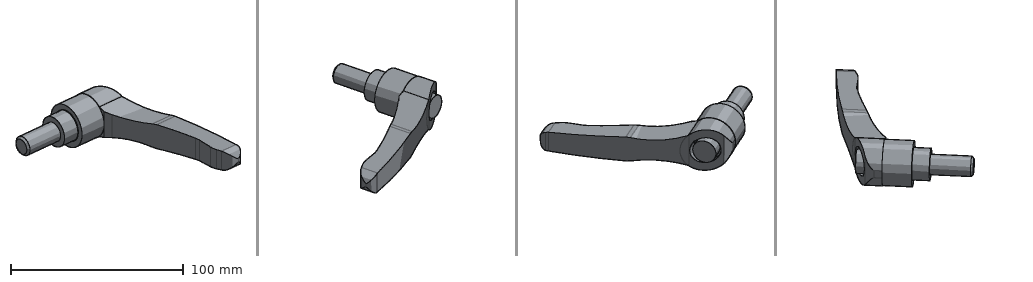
import cadquery as cq


stud_dia = 12.0
stud_chamfer = 1.3
collar_dia = 19.0
collar_bottom = 25.1

hub_dia = 27.0
hub_radius = hub_dia / 2
hub_bottom = 35.0
hub_step = 52.2
head_dia = 27.5
recess_dia = 19.6
recess_depth = 0.7

button_dia = 14.2
button_top = 68.0
button_hole_dia = 16.8
button_hole_floor = 60.8

arm_end = 108.5 - hub_radius
arm_top = 87.7
nose_start = 56.7
nose_mid = (-12.3, 60.3)
nose_end = (-9.8, 62.3)
back_start = (8.7, 69.7)
back_mid = (47.2, 81.0)
back_end = (88.7, 87.3)
tip_crown_x = 90.5
tip_upper_mid = (93.7, 86.4)
tip_height = 83.5
tip_lower_mid = (93.1, 78.9)
tip_underside = 76.2
heel_end = (85.6, 74.9)
heel_mid = (83.5, 74.3)
heel_start_x = 81.4
grip_floor = 74.1
grip_start_x = 71.6
belly_end = (68.9, 73.7)
belly_mid = (42.0, 65.2)
belly_start = (17.8, 54.4)

waist_x = 29.3
waist_half_width = 6.7
root_x = 9.0
root_half_width = 10.2
bulge_x = 41.2
bulge_half_width = 7.9
shoulder_x = 43.8
shoulder_half_width = 8.1
tip_x = back_end[0]
tip_half_width = 6.4
tip_mid = (93.2, 4.5)
plan_overrun = 0.1

body_height = 108.5


def cylinder(diameter, bottom, top):
    """Cylinder about the Y axis between two heights along Y."""
    return cq.Workplane("XZ", origin=(0, bottom, 0)).circle(diameter / 2).extrude(bottom - top)


def lever_profile():
    """Side shape of the lever in XY, extruded past the full width."""
    return (
        cq.Workplane("XY", origin=(0, 0, -head_dia))
        .moveTo(-hub_radius, hub_step)
        .lineTo(-hub_radius, nose_start)
        .threePointArc(nose_mid, nose_end)
        .lineTo(*back_start)
        .threePointArc(back_mid, back_end)
        .lineTo(tip_crown_x, arm_top)
        .threePointArc(tip_upper_mid, (arm_end, tip_height))
        .threePointArc(tip_lower_mid, (tip_x, tip_underside))
        .lineTo(*heel_end)
        .threePointArc(heel_mid, (heel_start_x, grip_floor))
        .lineTo(grip_start_x, grip_floor)
        .lineTo(*belly_end)
        .threePointArc(belly_mid, belly_start)
        .lineTo(hub_radius, hub_step)
        .close()
        .extrude(2 * head_dia)
    )


def arm_plan():
    """Waisted plan of the arm in XZ with a rounded tip."""
    return (
        cq.Workplane("XZ")
        .moveTo(0, root_half_width)
        .lineTo(root_x, root_half_width)
        .threePointArc((waist_x, waist_half_width), (bulge_x, bulge_half_width))
        .lineTo(shoulder_x, shoulder_half_width)
        .lineTo(tip_x, tip_half_width)
        .threePointArc(tip_mid, (arm_end + plan_overrun, 0))
        .threePointArc((tip_mid[0], -tip_mid[1]), (tip_x, -tip_half_width))
        .lineTo(shoulder_x, -shoulder_half_width)
        .lineTo(bulge_x, -bulge_half_width)
        .threePointArc((waist_x, -waist_half_width), (root_x, -root_half_width))
        .lineTo(0, -root_half_width)
        .close()
        .extrude(-body_height)
    )


def lever():
    """Head and arm cut to the side profile, with the button hole opened."""
    head = lever_profile().intersect(cylinder(head_dia, 0, body_height))
    arm = lever_profile().intersect(arm_plan())
    hole = cylinder(button_hole_dia, button_hole_floor, body_height)
    return head.union(arm).cut(hole)


def hub():
    """Lower hub with a shallow recess around the collar."""
    recess = cylinder(recess_dia, hub_bottom, hub_bottom + recess_depth)
    return cylinder(hub_dia, hub_bottom, hub_step).cut(recess)


def stud():
    """Plain stud, chamfered at its free end, with its collar."""
    shank = cylinder(stud_dia, 0, hub_step).faces("<Y").chamfer(stud_chamfer)
    return shank.union(cylinder(collar_dia, collar_bottom, hub_step))


button = cylinder(button_dia, button_hole_floor, button_top)

result = lever().union(hub()).union(stud()).union(button)